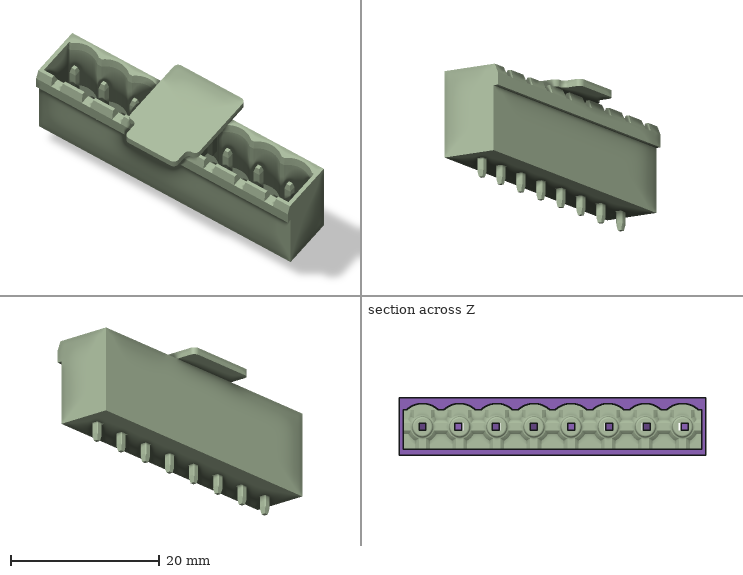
import cadquery as cq

LENGTH = 41.4
HEIGHT = 12.0
BACK_Y = 3.97
FRONT_Y = -3.85
POLES = 8
SOCKET_PITCH = 5.0

LIP_Y = -4.5
LIP_DEPTH = 3.0
BEVEL_RUN = 0.5
BEVEL_DEPTH = 1.2

END_WALL = 0.6
CAVITY_FLOOR = 3.4
VALLEY_FLOOR = 2.9
CAVITY_BACK_Y = 2.25
CAVITY_FRONT_Y = -3.02
FLARE_DEPTH = 1.2
BACK_FLARE = 0.25
FRONT_FLARE = 0.5
RECESS_RADIUS = 3.1

NOTCH_TOP_WIDTH = 1.8
NOTCH_FLOOR_WIDTH = 1.35

SLOPE_RUN = 0.5
BOSS_RADIUS = 1.6
CAP_ROUND = 0.25
RIDGE_WIDTH = 1.0
FRONT_RIB_WIDTH = 1.0
BACK_RIB_WIDTH = 2.25

PIN_PITCH = 5.1
PIN_WIDTH = 1.0
PIN_TOP = 10.85
PIN_BOTTOM = -2.55
PIN_TOP_TAPER = 0.9
PIN_BOTTOM_TAPER = 1.0
PIN_TIP_WIDTH = 0.6
PIN_CORNER = 0.12
PIN_HOLE_WIDTH = 1.05

PAD_THICKNESS = 1.0
PAD_WIDTH = 11.35
PAD_BACK_Y = 7.1
PAD_FRONT_Y = -7.4
PAD_RADIUS = 0.75
PLUG_DEPTH = 6.0
PLUG_WIDTH = 6.87
PLUG_BACK_WIDTH = 8.6
PLUG_STEP_Y = 1.25


def row(pitch):
    """X positions of all poles, centred on the part."""
    return [(i - (POLES - 1) / 2) * pitch for i in range(POLES)]


SOCKETS = row(SOCKET_PITCH)
PINS = [SOCKETS[0]] + row(PIN_PITCH)[1:]


def block(x0, x1, y0, y1, z0, z1):
    """Box between the given limits."""
    return cq.Workplane("XY").box(x1 - x0, y1 - y0, z1 - z0, centered=False).translate((x0, y0, z0))


def prism_x(points, x0, x1):
    """Extrude a (Y, Z) outline along X."""
    return cq.Workplane("YZ").polyline(points).close().extrude(x1 - x0).translate((x0, 0, 0))


def prism_y(points, y0, y1):
    """Extrude an (X, Z) outline along Y."""
    return cq.Workplane("XZ").polyline(points).close().extrude(y0 - y1).translate((0, y0, 0))


def frustum(width_low, width_high, z_low, z_high):
    """Square tapered stub on the Z axis."""
    return (
        cq.Workplane("XY", origin=(0, 0, z_low)).rect(width_low, width_low)
        .workplane(offset=z_high - z_low).rect(width_high, width_high).loft(combine=True)
    )


def shell():
    """Solid housing with the bevelled lip along its front."""
    half = LENGTH / 2
    return prism_x(
        [
            (BACK_Y, 0), (FRONT_Y, 0), (FRONT_Y, HEIGHT - LIP_DEPTH), (LIP_Y, HEIGHT - LIP_DEPTH),
            (LIP_Y, HEIGHT - BEVEL_DEPTH), (LIP_Y + BEVEL_RUN, HEIGHT), (BACK_Y, HEIGHT),
        ],
        -half, half,
    )


def cavity():
    """Flared trough down to the valley floor."""
    half = LENGTH / 2 - END_WALL
    flare_z = HEIGHT - FLARE_DEPTH
    return prism_x(
        [
            (CAVITY_FRONT_Y, VALLEY_FLOOR), (CAVITY_FRONT_Y, flare_z), (CAVITY_FRONT_Y - FRONT_FLARE, HEIGHT),
            (CAVITY_BACK_Y + BACK_FLARE, HEIGHT), (CAVITY_BACK_Y, flare_z), (CAVITY_BACK_Y, VALLEY_FLOOR),
        ],
        -half, half,
    )


def recess(x):
    """Round recess with a conical mouth, for one contact of the mating plug."""
    flare_z = HEIGHT - FLARE_DEPTH
    mouth = RECESS_RADIUS + BACK_FLARE
    turned = (
        cq.Workplane("XZ")
        .polyline([
            (0, CAVITY_FLOOR), (RECESS_RADIUS, CAVITY_FLOOR), (RECESS_RADIUS, flare_z),
            (mouth, HEIGHT), (0, HEIGHT),
        ])
        .close().revolve(360, (0, 0, 0), (0, 1, 0)).translate((x, 0, 0))
    )
    half = SOCKET_PITCH / 2
    back_half = block(x - half, x + half, 0, BACK_Y, 0, HEIGHT)
    return turned.intersect(back_half)


def notch(x):
    """Tapered notch through the lip and the front wall."""
    top = NOTCH_TOP_WIDTH / 2
    floor = NOTCH_FLOOR_WIDTH / 2
    floor_z = HEIGHT - BEVEL_DEPTH
    outline = [(x - floor, floor_z), (x + floor, floor_z), (x + top, HEIGHT), (x - top, HEIGHT)]
    return prism_y(outline, LIP_Y, CAVITY_FRONT_Y)


def rib_outline(centre, top_width):
    """Trapezoid section of a rib rising from the valley floor."""
    top = top_width / 2
    base = top + SLOPE_RUN
    return [
        (centre - base, VALLEY_FLOOR), (centre + base, VALLEY_FLOOR),
        (centre + top, CAVITY_FLOOR), (centre - top, CAVITY_FLOOR),
    ]


def boss(x):
    """Conical foot carrying a low cap, rounded into the foot and over its top edge."""
    cap_mid = CAVITY_FLOOR + CAP_ROUND
    cap_top = cap_mid + CAP_ROUND
    profile = (
        cq.Workplane("XZ")
        .moveTo(0, VALLEY_FLOOR)
        .lineTo(BOSS_RADIUS + SLOPE_RUN, VALLEY_FLOOR)
        .lineTo(BOSS_RADIUS, CAVITY_FLOOR)
        .radiusArc((BOSS_RADIUS - CAP_ROUND, cap_mid), CAP_ROUND)
        .radiusArc((BOSS_RADIUS - 2 * CAP_ROUND, cap_top), -CAP_ROUND)
        .lineTo(0, cap_top)
        .close()
    )
    return profile.revolve(360, (0, 0, 0), (0, 1, 0)).translate((x, 0, 0))


def floor_relief():
    """Long ridge, a front and a back rib per pole, and the bosses around the pins."""
    half = LENGTH / 2 - END_WALL
    ridge = prism_x(rib_outline(0, RIDGE_WIDTH), -half, half)
    raised = []
    for x in SOCKETS:
        raised.append(prism_y(rib_outline(x, FRONT_RIB_WIDTH), CAVITY_FRONT_Y, 0).val())
        raised.append(prism_y(rib_outline(x, BACK_RIB_WIDTH), 0, CAVITY_BACK_Y).val())
        raised.append(boss(x).val())
    return ridge.val().fuse(*raised)


def make_pin(x):
    """Square pin, tapered at both ends, with chamfered corners below the housing."""
    shank_bottom = PIN_BOTTOM + PIN_BOTTOM_TAPER
    shank_top = PIN_TOP - PIN_TOP_TAPER
    half = PIN_WIDTH / 2
    envelope = block(-half, half, -half, half, PIN_BOTTOM, 0).edges("|Z").chamfer(PIN_CORNER)
    tail = (
        block(-half, half, -half, half, shank_bottom, 0)
        .union(frustum(PIN_TIP_WIDTH, PIN_WIDTH, PIN_BOTTOM, shank_bottom))
        .intersect(envelope)
    )
    stem = block(-half, half, -half, half, 0, shank_top)
    point = frustum(PIN_WIDTH, PIN_TIP_WIDTH, shank_top, PIN_TOP)
    return tail.union(stem).union(point).translate((x, 0, 0))


def make_housing(pins):
    """Housing with a square hole per pole, widened where a pin stands off the socket centre."""
    hollows = [cavity().val()]
    hollows += [recess(x).val() for x in SOCKETS]
    hollows += [notch(x).val() for x in SOCKETS]
    hole = PIN_HOLE_WIDTH / 2
    holes = [block(x - hole, x + hole, -hole, hole, 0, HEIGHT).val() for x in SOCKETS]
    holes += [pin.val() for pin in pins]
    body = shell().val().cut(*hollows).fuse(floor_relief()).cut(*holes).clean()
    return cq.Workplane(body.Solids()[0])


def make_pad(pins):
    """Flat plate with a narrower front tab and a stepped plug that fits into the cavity, over the pins."""
    half = PAD_WIDTH / 2
    tab = half - 2 * PAD_RADIUS
    r = PAD_RADIUS
    plate = (
        cq.Workplane("XY", origin=(0, 0, HEIGHT))
        .moveTo(0, PAD_BACK_Y)
        .lineTo(half - r, PAD_BACK_Y)
        .radiusArc((half, PAD_BACK_Y - r), r)
        .lineTo(half, LIP_Y + r)
        .radiusArc((half - r, LIP_Y), r)
        .radiusArc((tab, LIP_Y - r), -r)
        .lineTo(tab, PAD_FRONT_Y + r)
        .radiusArc((tab - r, PAD_FRONT_Y), r)
        .lineTo(0, PAD_FRONT_Y)
        .mirrorY()
        .extrude(PAD_THICKNESS)
    )
    front = PLUG_WIDTH / 2
    back = PLUG_BACK_WIDTH / 2
    plug_z = HEIGHT - PLUG_DEPTH
    body = plate.union(block(-front, front, CAVITY_FRONT_Y, PLUG_STEP_Y, plug_z, HEIGHT))
    body = body.union(block(-back, back, PLUG_STEP_Y, CAVITY_BACK_Y, plug_z, HEIGHT))
    for pin in pins:
        body = body.cut(pin)
    return body


pins = [make_pin(x) for x in PINS]
housing = make_housing(pins)
pad = make_pad(pins)
result = cq.Compound.makeCompound([housing.val(), pad.val(), *[pin.val() for pin in pins]])